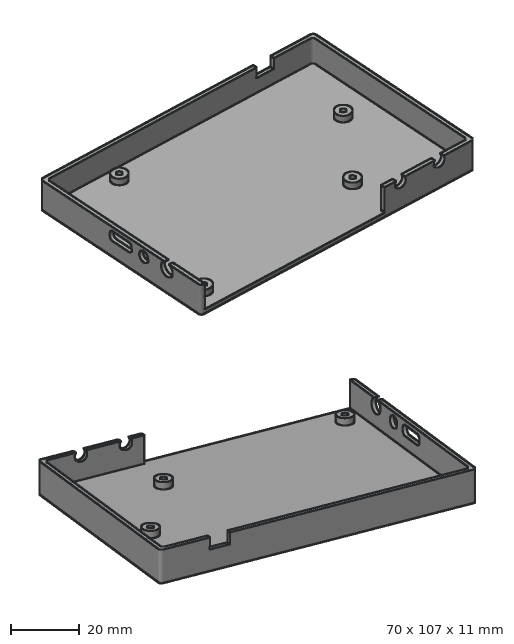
import cadquery as cq

WIDTH = 70.0
LENGTH = 107.0
HEIGHT = 11.0
WALL = 1.5
FLOOR = 1.8
CORNER_RADIUS = 1.1
BOTTOM_RADIUS = 0.3

RIGHT_WALL_END_Y = 18.4

BOSS_DIAMETER = 5.5
BOSS_HEIGHT = 2.4
SCREW_DIAMETER = 1.9
BOSS_CENTERS = [(-7.9, 40.8), (18.2, 21.0), (-28.7, -28.2), (28.0, -46.2)]

PORT_Z = 7.7
SLOT_WIDTH = 9.5
SLOT_HEIGHT = 3.5
SLOT_RADIUS = 1.3
SMALL_PORT_X = 10.1
SMALL_PORT_DIAMETER = 4.0
LARGE_PORT_X = 20.1
LARGE_PORT_Z = 8.7
LARGE_PORT_DIAMETER = 5.0

RIM_NOTCH_DIAMETER = 4.2
RIM_NOTCH_Z = 9.8
RIM_NOTCH_CENTERS_Y = [39.8, 24.6]

SIDE_NOTCH_Y = 33.3
SIDE_NOTCH_LENGTH = 6.7
SIDE_NOTCH_DEPTH = 3.9

CUT_DEPTH = 2 * WALL
FRONT_Y = -LENGTH / 2
SIDE_X = WIDTH / 2


def open_tray():
    """Rounded box with a floor, four walls and the +X wall cut short."""
    outside = cq.Workplane().box(WIDTH, LENGTH, HEIGHT, centered=(True, True, False))
    outside = outside.edges("|Z").fillet(CORNER_RADIUS).faces("<Z").edges().fillet(BOTTOM_RADIUS)
    cavity = (
        cq.Workplane(origin=(0, 0, FLOOR))
        .box(WIDTH - 2 * WALL, LENGTH - 2 * WALL, HEIGHT, centered=(True, True, False))
        .edges("|Z")
        .fillet(CORNER_RADIUS)
    )
    gap_start = FRONT_Y + WALL
    gap_length = RIGHT_WALL_END_Y - gap_start
    side_gap = cq.Workplane(origin=(SIDE_X, gap_start + gap_length / 2, FLOOR)).box(
        2 * (WALL + CORNER_RADIUS), gap_length, HEIGHT, centered=(True, True, False)
    )
    return outside.cut(cavity).cut(side_gap)


def add_bosses(tray):
    """Screw bosses with holes through the boss and the floor."""
    bosses = (
        cq.Workplane(origin=(0, 0, FLOOR))
        .pushPoints(BOSS_CENTERS)
        .circle(BOSS_DIAMETER / 2)
        .extrude(BOSS_HEIGHT)
    )
    holes = (
        cq.Workplane()
        .pushPoints(BOSS_CENTERS)
        .circle(SCREW_DIAMETER / 2)
        .extrude(FLOOR + BOSS_HEIGHT)
    )
    return tray.union(bosses).cut(holes)


def front_port(x, z, diameter):
    """Round cutter through the -Y wall."""
    return (
        cq.Workplane("XZ", origin=(x, FRONT_Y + WALL / 2, z))
        .circle(diameter / 2)
        .extrude(CUT_DEPTH / 2, both=True)
    )


def front_slot():
    """Rounded rectangular cutter through the middle of the -Y wall."""
    return (
        cq.Workplane(origin=(0, FRONT_Y + WALL / 2, PORT_Z))
        .box(SLOT_WIDTH, CUT_DEPTH, SLOT_HEIGHT)
        .edges("|Y")
        .fillet(SLOT_RADIUS)
    )


def rim_notch(y):
    """Round cutter that breaks through the rim of the +X wall."""
    return (
        cq.Workplane("YZ", origin=(SIDE_X - WALL / 2, y, RIM_NOTCH_Z))
        .circle(RIM_NOTCH_DIAMETER / 2)
        .extrude(CUT_DEPTH / 2, both=True)
    )


def side_notch():
    """Rectangular cutter in the rim of the -X wall."""
    return cq.Workplane(origin=(-SIDE_X + WALL / 2, SIDE_NOTCH_Y, HEIGHT)).box(
        CUT_DEPTH, SIDE_NOTCH_LENGTH, 2 * SIDE_NOTCH_DEPTH
    )


result = add_bosses(open_tray())
result = result.cut(front_slot())
result = result.cut(front_port(SMALL_PORT_X, PORT_Z, SMALL_PORT_DIAMETER))
result = result.cut(front_port(LARGE_PORT_X, LARGE_PORT_Z, LARGE_PORT_DIAMETER))
for notch_y in RIM_NOTCH_CENTERS_Y:
    result = result.cut(rim_notch(notch_y))
result = result.cut(side_notch())